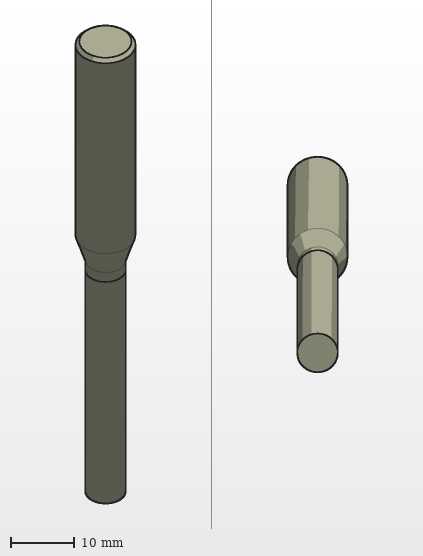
import cadquery as cq

total_length = 90.5
shank_diameter = 9.5
neck_diameter = 6.4
chamfer_size = 0.6
cutter_length = 44.6
neck_length = 2.0
taper_length = 5.0

shank_radius = shank_diameter / 2
neck_radius = neck_diameter / 2
taper_bottom = cutter_length + neck_length
taper_top = taper_bottom + taper_length


def make_shank():
    """Chamfered shank that tapers down to a short neck."""
    profile = [
        (0, cutter_length),
        (neck_radius, cutter_length),
        (neck_radius, taper_bottom),
        (shank_radius, taper_top),
        (shank_radius, total_length - chamfer_size),
        (shank_radius - chamfer_size, total_length),
        (0, total_length),
    ]
    return cq.Workplane("XZ").polyline(profile).close().revolve(360, (0, 0), (0, 1))


def make_cutter():
    """Plain round cutter standing end to end with the neck."""
    return cq.Workplane("XY").circle(neck_radius).extrude(cutter_length)


shank = make_shank()
cutter = make_cutter()

result = cq.Compound.makeCompound([shank.val(), cutter.val()])